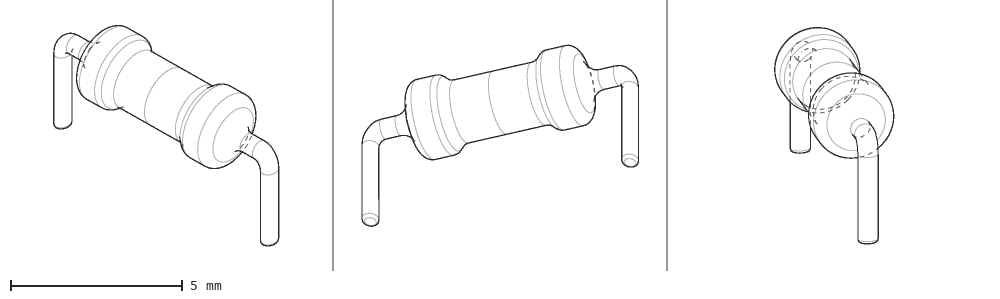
import cadquery as cq
import math

squeeze = 0.8

half_length = 4.305
bulb_outer_x = 2.325
bulb_inner_x = 1.73

bulb_radius = 1.201
waist_radius = 0.95
wire_radius = 0.3

neck_blend = 0.69
outer_shoulder = 0.39
inner_shoulder = 0.34
waist_blend = 0.61

bend_radius = 0.51
total_height = 4.41
tip_fillet = 0.095

wire_end = half_length / squeeze
bend_start = wire_end - wire_radius - bend_radius
lead_x = bend_start + bend_radius
band_outer = bulb_outer_x / squeeze
band_inner = bulb_inner_x / squeeze
tip_z = bulb_radius - total_height


def blend_length(convex, concave, drop):
    """Axial length of two tangent arcs that step the radius by drop."""
    reach = convex + concave
    return math.sqrt(reach**2 - (reach - drop)**2)


def meeting_point(band_end, foot_x, foot_radius, convex, concave):
    """Point where the bulb shoulder meets the concave blend on the line of arc centres."""
    shoulder_center = bulb_radius - convex
    blend_center = foot_radius + concave
    share = convex / (convex + concave)
    return (
        band_end + (foot_x - band_end) * share,
        shoulder_center + (blend_center - shoulder_center) * share,
    )


def half_body():
    """Revolved half body: waist, bulb and neck, up to the start of the bend."""
    waist_drop = bulb_radius - waist_radius
    neck_drop = bulb_radius - wire_radius
    waist_end = band_inner - blend_length(inner_shoulder, waist_blend, waist_drop)
    neck_end = band_outer + blend_length(outer_shoulder, neck_blend, neck_drop)
    waist_meeting = meeting_point(band_inner, waist_end, waist_radius, inner_shoulder, waist_blend)
    neck_meeting = meeting_point(band_outer, neck_end, wire_radius, outer_shoulder, neck_blend)
    return (
        cq.Workplane("XZ")
        .lineTo(0, waist_radius)
        .lineTo(waist_end, waist_radius)
        .tangentArcPoint(waist_meeting, relative=False)
        .tangentArcPoint((band_inner, bulb_radius), relative=False)
        .lineTo(band_outer, bulb_radius)
        .tangentArcPoint(neck_meeting, relative=False)
        .tangentArcPoint((neck_end, wire_radius), relative=False)
        .lineTo(bend_start, wire_radius)
        .lineTo(bend_start, 0)
        .close()
        .revolve(360, (0, 0, 0), (1, 0, 0))
    )


def lead():
    """Quarter bend followed by a straight pin with a rounded tip."""
    bend = (
        cq.Workplane("YZ", origin=(bend_start, 0, 0))
        .circle(wire_radius)
        .revolve(90, (0, -bend_radius, 0), (1, -bend_radius, 0))
    )
    pin = (
        cq.Workplane("XY", origin=(lead_x, 0, tip_z))
        .circle(wire_radius)
        .extrude(-bend_radius - tip_z)
        .faces("<Z")
        .edges()
        .fillet(tip_fillet)
    )
    return bend.union(pin)


half = half_body().union(lead())
round_part = half.union(half.mirror("YZ"))
squeeze_x = cq.Matrix([
    [squeeze, 0, 0, 0],
    [0, 1, 0, 0],
    [0, 0, 1, 0],
])
result = cq.Workplane(round_part.val().transformGeometry(squeeze_x))